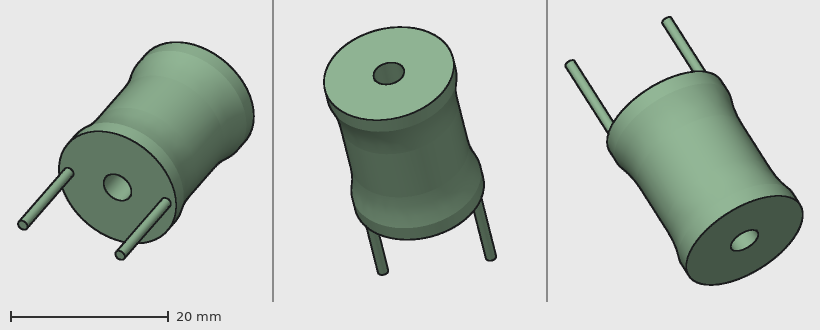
import cadquery as cq
import math

total_length = 34.05
body_length = 21.38
flange_radius = 8.37
flange_thickness = 2.08
waist_radius = 7.62
flare_length = 4.75
bore_radius = 1.97

pin_radius = 0.68
pin_offset = waist_radius - pin_radius
pin_length = total_length - body_length

flare_rise = flange_radius - waist_radius
flare_arc_radius = (flare_length**2 + flare_rise**2) / (2 * flare_rise)
half_flare_angle = math.asin(flare_length / flare_arc_radius) / 2
mid_flare_radius = waist_radius + flare_arc_radius * (1 - math.cos(half_flare_angle))
mid_flare_run = flare_arc_radius * math.sin(half_flare_angle)

waist_start = flange_thickness + flare_length
waist_end = body_length - waist_start
back_flange_start = body_length - flange_thickness


def make_core():
    """Revolve the flanged, bored profile about the Y axis."""
    profile = (
        cq.Workplane("XY")
        .moveTo(bore_radius, 0)
        .lineTo(flange_radius, 0)
        .lineTo(flange_radius, flange_thickness)
        .threePointArc((mid_flare_radius, waist_start - mid_flare_run), (waist_radius, waist_start))
        .lineTo(waist_radius, waist_end)
        .threePointArc((mid_flare_radius, waist_end + mid_flare_run), (flange_radius, back_flange_start))
        .lineTo(flange_radius, body_length)
        .lineTo(bore_radius, body_length)
        .close()
    )
    return profile.revolve(360, (0, 0, 0), (0, 1, 0))


def make_pins():
    """Two round pins on opposite sides of the bore."""
    return (
        cq.Workplane("XZ")
        .pushPoints([(-pin_offset, 0), (pin_offset, 0)])
        .circle(pin_radius)
        .extrude(pin_length)
    )


result = make_core().union(make_pins())